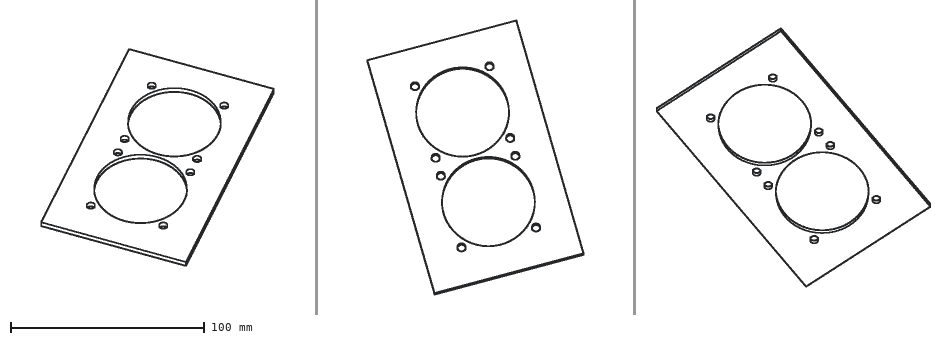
import cadquery as cq

plate_width = 80.0
plate_length = 130.0
plate_thickness = 3.0

opening_diameter = 48.0
opening_spacing = 50.0
screw_hole_diameter = 4.3
screw_hole_spacing = 40.0


def make_plate():
    """Flat plate centred on the origin."""
    return cq.Workplane("XY").box(plate_width, plate_length, plate_thickness)


def cut_opening(plate, center_y):
    """Cut one large opening and its four screw holes through the plate."""
    top_face = plate.faces(">Z").workplane(origin=(0, center_y, 0))
    plate = top_face.hole(opening_diameter)
    top_face = plate.faces(">Z").workplane(origin=(0, center_y, 0))
    screw_holes = top_face.rarray(screw_hole_spacing, screw_hole_spacing, 2, 2)
    return screw_holes.hole(screw_hole_diameter)


result = make_plate()
for side in (-1, 1):
    result = cut_opening(result, side * opening_spacing / 2)